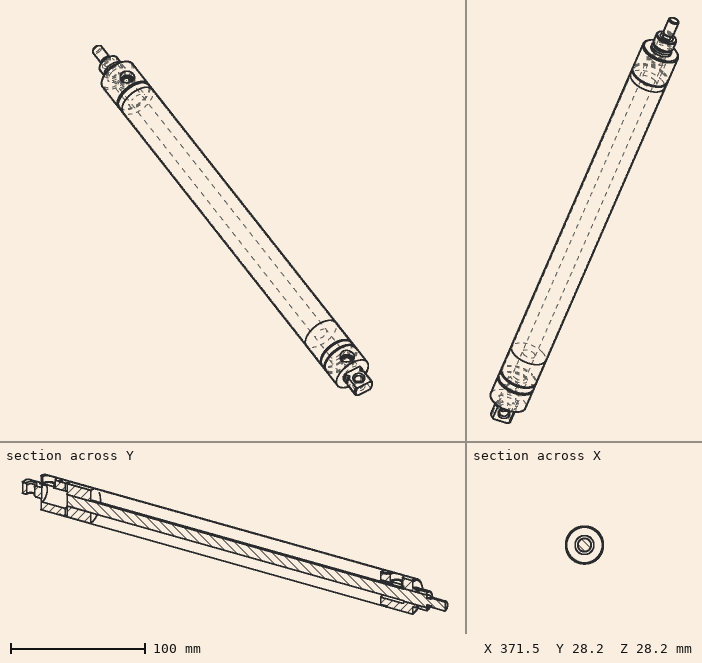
import cadquery as cq

TOTAL_LENGTH = 371.48
ROD_THREAD_END = 12.7
NOSE_START = 15.875
FRONT_SHOULDER = 28.2
TUBE_START = 51.8
TUBE_END = 338.5
REAR_SHOULDER = 355.4

BODY_DIAMETER = 28.19
TUBE_BORE = 27.0

ROD_DIAMETER = 10.0
ROD_THREAD_DIAMETER = 7.94
ROD_TIP_CHAMFER = 0.8
ROD_RELIEF_DIAMETER = 6.0
PISTON_LENGTH = 21.0
PISTON_REAR_GAP = 1.0

SPIGOT_LENGTH = 5.0
CAVITY_DIAMETER = 14.0
SHOULDER_CHAMFER = 0.9
JOINT_CHAMFER = 0.9
STUD_DIAMETER = 15.875
STUD_GROOVE_DIAMETER = 13.6
STUD_GROOVE_WIDTH = 3.4
STUD_GROOVE_OFFSET = 1.8
NOSE_CHAMFER = 0.6
PORT_DIAMETER = 10.6
PORT_DEPTH = 5.5
PORT_PASSAGE_DIAMETER = 8.0
FRONT_PORT_X = 42.9
REAR_PORT_X = 348.2
PORT_TO_CAVITY_END = 6.0

TONGUE_THICKNESS = 9.525
TONGUE_END_CHAMFER = 0.8
PIVOT_HOLE_X = 364.2
PIVOT_HOLE_DIAMETER = 6.35
PIVOT_HOLE_CHAMFER = 1.2

piston_end = TUBE_END - SPIGOT_LENGTH - PISTON_REAR_GAP
piston_start = piston_end - PISTON_LENGTH


def bar_along_x(start, end, diameter):
    """A round bar on the X axis between two stations."""
    return cq.Workplane("YZ", origin=(start, 0, 0)).circle(diameter / 2).extrude(end - start)


def cut_stud_groove(body, start):
    """Cut a groove with 45 degree sides around a threaded stud."""
    outer = STUD_DIAMETER / 2
    floor = STUD_GROOVE_DIAMETER / 2
    depth = outer - floor
    end = start + STUD_GROOVE_WIDTH
    ring = (
        cq.Workplane("XY")
        .polyline([(start, outer), (start + depth, floor), (end - depth, floor), (end, outer)])
        .close()
        .revolve(360, (0, 0, 0), (1, 0, 0))
    )
    return body.cut(ring)


def cut_port(body, x):
    """Cut an air port into the top of a cap, with a narrower passage from its floor to the cavity."""
    top = BODY_DIAMETER / 2
    passage = cq.Workplane("XY", origin=(x, 0, 0)).circle(PORT_PASSAGE_DIAMETER / 2).extrude(top)
    port = cq.Workplane("XY", origin=(x, 0, top)).circle(PORT_DIAMETER / 2).extrude(-PORT_DEPTH)
    return body.cut(passage).cut(port)


def make_front_cap():
    barrel = bar_along_x(FRONT_SHOULDER, TUBE_START, BODY_DIAMETER)
    barrel = barrel.faces("<X").chamfer(SHOULDER_CHAMFER)
    barrel = barrel.faces(">X").chamfer(JOINT_CHAMFER)
    nose = bar_along_x(NOSE_START, FRONT_SHOULDER, STUD_DIAMETER).faces("<X").chamfer(NOSE_CHAMFER)
    nose = cut_stud_groove(nose, FRONT_SHOULDER - STUD_GROOVE_OFFSET - STUD_GROOVE_WIDTH)
    spigot_end = TUBE_START + SPIGOT_LENGTH
    cap = barrel.union(nose).union(bar_along_x(TUBE_START, spigot_end, TUBE_BORE))
    cap = cap.cut(bar_along_x(FRONT_PORT_X - PORT_TO_CAVITY_END, spigot_end, CAVITY_DIAMETER))
    cap = cut_port(cap, FRONT_PORT_X)
    return cap.cut(bar_along_x(NOSE_START, spigot_end, ROD_DIAMETER))


def make_tube():
    return bar_along_x(TUBE_START, TUBE_END, BODY_DIAMETER).cut(bar_along_x(TUBE_START, TUBE_END, TUBE_BORE))


def cut_pivot_hole(tongue):
    """Cut the cross hole, countersunk on both flats."""
    flat = TONGUE_THICKNESS / 2
    bore = PIVOT_HOLE_DIAMETER / 2
    mouth = bore + PIVOT_HOLE_CHAMFER
    bore_end = flat - PIVOT_HOLE_CHAMFER
    profile = [(0, -flat), (mouth, -flat), (bore, -bore_end), (bore, bore_end), (mouth, flat), (0, flat)]
    hole = cq.Workplane("XZ").polyline(profile).close().revolve(360, (0, 0, 0), (0, 1, 0))
    return tongue.cut(hole.translate((PIVOT_HOLE_X, 0, 0)))


def make_pivot_tongue():
    stud = bar_along_x(REAR_SHOULDER, TOTAL_LENGTH, STUD_DIAMETER).faces(">X").chamfer(TONGUE_END_CHAMFER)
    stud = cut_stud_groove(stud, REAR_SHOULDER + STUD_GROOVE_OFFSET)
    slab = cq.Workplane("XY").box(2 * TOTAL_LENGTH, BODY_DIAMETER, TONGUE_THICKNESS)
    return cut_pivot_hole(stud.intersect(slab))


def make_rear_cap():
    spigot_start = TUBE_END - SPIGOT_LENGTH
    cap = bar_along_x(TUBE_END, REAR_SHOULDER, BODY_DIAMETER).faces("<X").chamfer(JOINT_CHAMFER)
    cap = cap.union(bar_along_x(spigot_start, TUBE_END, TUBE_BORE)).union(make_pivot_tongue())
    cap = cap.cut(bar_along_x(spigot_start, REAR_PORT_X + PORT_TO_CAVITY_END, CAVITY_DIAMETER))
    return cut_port(cap, REAR_PORT_X)


def make_rod():
    tip = bar_along_x(0, ROD_THREAD_END, ROD_THREAD_DIAMETER)
    tip = tip.faces("<X").chamfer(ROD_TIP_CHAMFER)
    relief = bar_along_x(ROD_THREAD_END, NOSE_START, ROD_RELIEF_DIAMETER)
    shank = bar_along_x(NOSE_START, piston_end, ROD_DIAMETER)
    return tip.union(relief).union(shank)


def make_piston():
    disc = bar_along_x(piston_start, piston_end, TUBE_BORE)
    return disc.cut(bar_along_x(piston_start, piston_end, ROD_DIAMETER))


front_cap = make_front_cap()
tube = make_tube()
rear_cap = make_rear_cap()
rod = make_rod()
piston = make_piston()

result = cq.Compound.makeCompound(
    [front_cap.val(), tube.val(), rear_cap.val(), rod.val(), piston.val()]
)